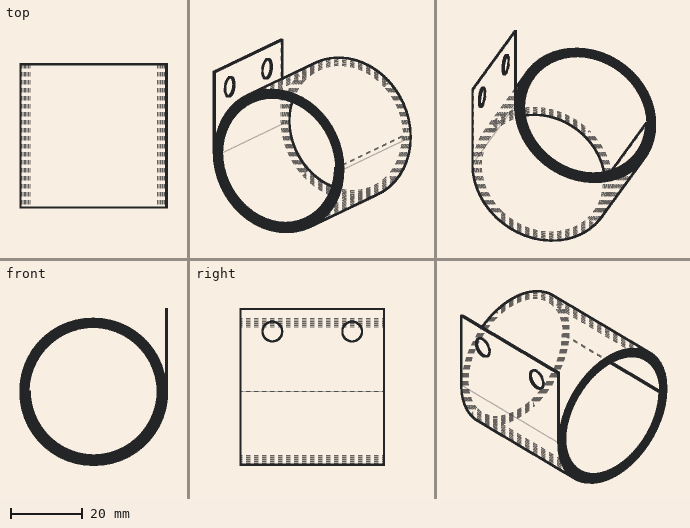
import cadquery as cq

strip_width = 40.0
strip_thickness = 0.379
layer_gap = 0.001
lower_turn_count = 7
outer_radius = 20.46

tail_height = 23.0
hole_diameter = 5.5
hole_spacing = 22.2
hole_below_tail_end = 6.3

pitch = strip_thickness + layer_gap
upper_turn_count = lower_turn_count - 1
inner_radius = outer_radius - strip_thickness - upper_turn_count * pitch
tail_inner_x = outer_radius - strip_thickness


def spiral_arcs(first_radius):
    """(start, middle, end) of each half turn of a spiral, from its inner end outwards.

    Lower half turns are centred on the origin. Each upper half turn is centred half
    a pitch towards -X, so that it meets the next, wider lower half turn.
    """
    arcs = []
    for turn in range(lower_turn_count):
        radius = first_radius + turn * pitch
        left = (-radius, 0)
        right = (radius, 0)
        arcs.append((left, (0, -radius), right))
        if turn < upper_turn_count:
            crown = (-pitch / 2, radius + pitch / 2)
            next_left = (-radius - pitch, 0)
            arcs.append((right, crown, next_left))
    return arcs


def coil_with_tail():
    """The strip's edge profile: out along its inner face, round the tail, back along its outer face."""
    profile = cq.Workplane("XZ", origin=(0, strip_width / 2, 0)).moveTo(-inner_radius, 0)
    for _, middle, end in spiral_arcs(inner_radius):
        profile = profile.threePointArc(middle, end)
    profile = profile.lineTo(tail_inner_x, tail_height)
    profile = profile.lineTo(outer_radius, tail_height)
    profile = profile.lineTo(outer_radius, 0)
    for start, middle, _ in reversed(spiral_arcs(inner_radius + strip_thickness)):
        profile = profile.threePointArc(middle, start)
    return profile.close().extrude(strip_width)


def tail_holes():
    """Pins for the pair of holes through the tail, symmetric about Y = 0."""
    hole_z = tail_height - hole_below_tail_end
    centres = [(side * hole_spacing / 2, hole_z) for side in (-1, 1)]
    tail_middle_x = (tail_inner_x + outer_radius) / 2
    pins = cq.Workplane("YZ", origin=(tail_middle_x, 0, 0)).pushPoints(centres)
    return pins.circle(hole_diameter / 2).extrude(strip_thickness, both=True)


result = coil_with_tail().cut(tail_holes())